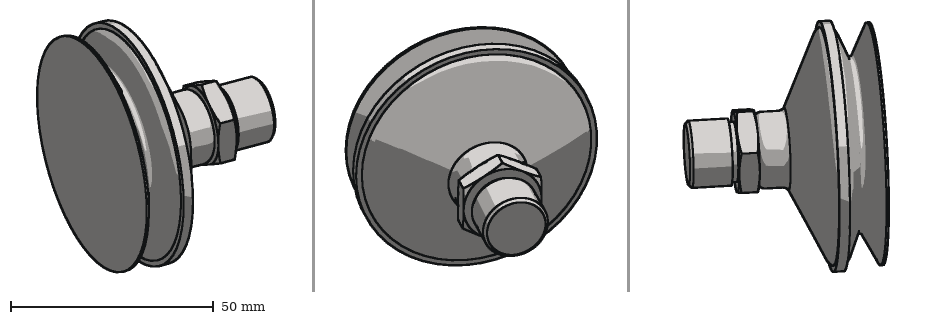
import cadquery as cq
import math


LIP_RADIUS = 60.0 / 2
LIP_THICKNESS = 0.6
WAIST_LOWER_RADIUS, WAIST_LOWER_Y = 22.4, 4.5
WAIST_UPPER_RADIUS, WAIST_UPPER_Y = 22.6, 6.15
UNDERSIDE_RADIUS, UNDERSIDE_Y = 28.0, 8.4

BAND_RADIUS = 30.95
BAND_BOTTOM_Y = 9.7
BAND_THICKNESS = 2.6
BAND_TOP_Y = BAND_BOTTOM_Y + BAND_THICKNESS
SHOULDER_RADIUS = 29.5

CONE_BASE_RADIUS, CONE_BASE_Y = 28.25, 13.5
CONE_TOP_RADIUS, CONE_TOP_Y = 10.15, 22.25
COLLAR_RADIUS = 19.0 / 2
COLLAR_BOTTOM_Y = 23.8
COLLAR_ROUND = 1.9

NUT_BOTTOM_Y = 29.85
NUT_THICKNESS = 5.1
NUT_ACROSS_FLATS = 20.0
NUT_CHAMFER_HEIGHT = 0.55
NUT_TURN = 0.7
NUT_TOP_Y = NUT_BOTTOM_Y + NUT_THICKNESS

THREAD_RADIUS = 16.65 / 2
THREAD_CHAMFER = 0.8
RELIEF_RADIUS = 14.9 / 2
RELIEF_LENGTH = 1.4
STEM_TOP_Y = 46.9


def revolve_about_y(profile):
    """Close a (radius, height) profile and turn it about the Y axis."""
    return profile.close().revolve(360, (0, 0, 0), (0, 1, 0))


def disc(radius, bottom_y, height):
    plane = cq.Plane(origin=(0, bottom_y, 0), xDir=(1, 0, 0), normal=(0, 1, 0))
    return cq.Workplane(plane).circle(radius).extrude(height)


def make_lower_fold():
    profile = (
        cq.Workplane("XY")
        .lineTo(LIP_RADIUS, 0)
        .lineTo(LIP_RADIUS, LIP_THICKNESS)
        .lineTo(WAIST_LOWER_RADIUS, WAIST_LOWER_Y)
        .tangentArcPoint((WAIST_UPPER_RADIUS, WAIST_UPPER_Y), relative=False)
        .lineTo(UNDERSIDE_RADIUS, UNDERSIDE_Y)
        .tangentArcPoint((SHOULDER_RADIUS, BAND_BOTTOM_Y), relative=False)
        .lineTo(0, BAND_BOTTOM_Y)
    )
    return revolve_about_y(profile)


def make_upper_cone():
    profile = (
        cq.Workplane("XY")
        .moveTo(0, NUT_BOTTOM_Y)
        .lineTo(COLLAR_RADIUS - COLLAR_ROUND, NUT_BOTTOM_Y)
        .tangentArcPoint((COLLAR_RADIUS, NUT_BOTTOM_Y - COLLAR_ROUND), relative=False)
        .lineTo(COLLAR_RADIUS, COLLAR_BOTTOM_Y)
        .tangentArcPoint((CONE_TOP_RADIUS, CONE_TOP_Y), relative=False)
        .lineTo(CONE_BASE_RADIUS, CONE_BASE_Y)
        .tangentArcPoint((SHOULDER_RADIUS, BAND_TOP_Y), relative=False)
        .lineTo(0, BAND_TOP_Y)
    )
    return revolve_about_y(profile)


def make_nut():
    flat_radius = NUT_ACROSS_FLATS / 2
    corner_radius = flat_radius / math.cos(math.pi / 6)
    plane = cq.Plane(origin=(0, NUT_BOTTOM_Y, 0), xDir=(0, 0, 1), normal=(0, 1, 0))
    prism = cq.Workplane(plane).polygon(6, 2 * corner_radius).extrude(NUT_THICKNESS)
    prism = prism.rotate((0, 0, 0), (0, 1, 0), -NUT_TURN)

    envelope = (
        cq.Workplane("XY")
        .moveTo(0, NUT_BOTTOM_Y)
        .lineTo(flat_radius, NUT_BOTTOM_Y)
        .lineTo(corner_radius, NUT_BOTTOM_Y + NUT_CHAMFER_HEIGHT)
        .lineTo(corner_radius, NUT_TOP_Y - NUT_CHAMFER_HEIGHT)
        .lineTo(flat_radius, NUT_TOP_Y)
        .lineTo(0, NUT_TOP_Y)
    )
    return prism.intersect(revolve_about_y(envelope))


def make_stem():
    thread_bottom_y = NUT_TOP_Y + RELIEF_LENGTH
    relief = disc(RELIEF_RADIUS, NUT_TOP_Y, RELIEF_LENGTH)
    thread = disc(THREAD_RADIUS, thread_bottom_y, STEM_TOP_Y - thread_bottom_y)
    return relief.union(thread.faces(">Y").chamfer(THREAD_CHAMFER))


result = (
    make_lower_fold()
    .union(disc(BAND_RADIUS, BAND_BOTTOM_Y, BAND_THICKNESS))
    .union(make_upper_cone())
    .union(make_nut())
    .union(make_stem())
)